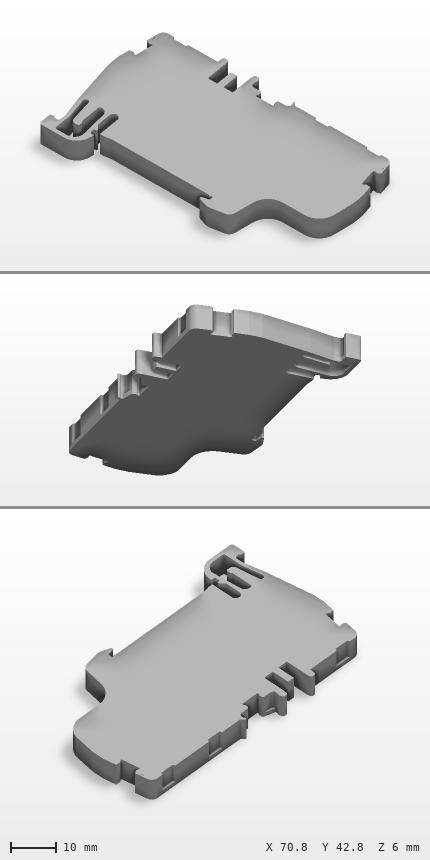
import cadquery as cq
import math

LENGTH = 70.81
HEIGHT = 42.76
THICKNESS = 6.0
WEB_HEIGHT = 1.2

HALF_LENGTH = LENGTH / 2
TOP_Y = HEIGHT / 2
BOTTOM_Y = -HEIGHT / 2
DECK_Y = 19.5
BASE_Y = -15.05

SHOULDER_CORNER_X = 33.15
SHOULDER_RADIUS = 1.85
SHOULDER_TIP_X = 33.9
SHOULDER_TIP_Y = 14.8
NOTCH_TOP_X = 31.95
NOTCH_TOP_Y = 14.45
NOTCH_BOTTOM_X = 32.75
NOTCH_BOTTOM_Y = 9.5
SHOULDER_PIP_X = 32.85
SHOULDER_PIP_DROP = 0.15
SHOULDER_PIP_WIDTH = 0.25
FLANK_CORNER_X = 34.85
FLANK_CORNER_Y = 9.9
FLANK_PIP_X = 33.8
FLANK_PIP_RISE = 0.15
FLANK_PIP_WIDTH = 0.2
FLANK_GAP = 0.3
FLANK_TOP_Y = 6.5
FLANK_BOTTOM_Y = 3.3
FLANK_SLOPE = math.tan(math.radians(8.9))

PRONG_WIDTH = 1.75
PRONG_RADIUS = 0.45
PRONG_TAPER = 0.2
PRONG_TAPER_HEIGHT = 1.44
PRONG_XS = (-16.5, -7.5)
PRONG_NOSE = 0.13
PRONG_NOSE_Y = 20.2
PRONG_NOSE_HEIGHT = 0.6
SLOT_FLOOR_Y = 13.97
TAB_WIDTH = 1.8
TAB_TOP_Y = 18.73
TAB_X = sum(PRONG_XS) / 2

LATCH_X = -1.25
LATCH_FLOOR_Y = 16.35
LATCH_HALF_FLOOR = 2.48
LATCH_HALF_MOUTH = 5.45
LATCH_STEP_Y = 18.25
LATCH_STEP_CHAMFER_X = 0.7
LATCH_STEP_CHAMFER_Y = 0.4
LATCH_BEAD = 0.25
LATCH_BEAD_TOP_Y = 17.9
LATCH_BEAD_BOTTOM_Y = 17.1
LATCH_HOOK_TOP_Y = 20.4
LATCH_HOOK_BOTTOM_Y = 19.9
LATCH_HOOK_REACH = 0.25
LATCH_HOOK_CHAMFER = 0.2
LATCH_WEB_RISE = 0.9
LATCH_WEB_OVERLAP = 0.25

MARKER_XS = (-27.95, 13.0, 28.0)
MARKER_DEPTH = 0.6
MARKER_TOP_WIDTH = 4.2
MARKER_FLOOR_WIDTH = 3.7

GROOVE_X = 33.2
GROOVE_Y = 16.3
GROOVE_LENGTH = 0.9
GROOVE_WIDTH = 0.1
GROOVE_DEPTH = 0.5

SHELF_Y = -6.5
SHELF_OUTER_RADIUS = 5.1
SHELF_OUTER_X = 33.36
SHELF_ROUND_TOP_Y = -2.8
SHELF_INNER_RADIUS = 5.2
SHELF_INNER_X = 18.9
HOOK_HEEL_X = 17.05
HOOK_HEEL_Y = -17.35
HOOK_HEEL_RADIUS = 2.0
HOOK_BOTTOM_Y = -18.22
HOOK_BOTTOM_RIGHT_X = 11.62
HOOK_BOTTOM_LEFT_X = 10.98
HOOK_BEVEL_X = 0.215
HOOK_BEVEL_RIGHT_Y = 0.04
HOOK_BEVEL_LEFT_Y = 0.07
HOOK_TIP_X = 8.1
HOOK_TIP_TOP_Y = -16.7
HOOK_TIP_BOTTOM_Y = -17.2
HOOK_TIP_BEVEL_X = 0.25
HOOK_TIP_BEVEL_Y = 0.15
HOOK_THROAT_X = 10.15
HOOK_THROAT_Y = -16.2
BEAD_X = 9.35
BEAD_TOP_WIDTH = 0.9
BEAD_BOTTOM_WIDTH = 0.5
BEAD_DROP = 0.15

SPRING_SLOT_LEFT_X = -24.6
SPRING_SLOT_RIGHT_X = -22.3
SPRING_SLOT_TOP_Y = -8.15
BASE_END_X = -19.2
BASE_LIP_X = -21.2
BASE_LIP_DROP = 0.35

CATCH_TOP_Y = -13.25
CATCH_NOSE_X = -23.55
CATCH_NOSE_TOP_Y = -14.5
CATCH_NOSE_BOTTOM_Y = -15.0
CATCH_THROAT_X = -24.35
CATCH_THROAT_BEVEL_X = 0.2
CATCH_THROAT_BEVEL_Y = 0.4
CATCH_LEDGE_Y = -16.5
CATCH_LEDGE_X = -23.1

FOOT_HEEL_X = -23.85
FOOT_HEEL_RADIUS = 4.37
FOOT_LEFT_X = -34.9
FOOT_CORNER_RADIUS = 0.7
FOOT_TOP_Y = -17.45
FOOT_TOP_RADIUS = 0.25
FOOT_RELIEF_LEFT_X = -33.7
FOOT_RELIEF_DROP = 0.35
FOOT_RELIEF_BEVEL = 0.3
FOOT_NECK_X = -32.1
FOOT_NECK_TOP_Y = -15.7
FLANK_BEND_Y = -9.5
FOOT_WEB_RADIUS = 0.85
FOOT_WEB_OVERLAP = 0.25

WINDOW_TOP_Y = -8.6
WINDOW_BOTTOM_Y = -20.35
WINDOW_LEFT_TOP_X = -32.35
WINDOW_LEFT_X = -31.2
WINDOW_LEFT_BEND_Y = -15.2
WINDOW_LEFT_TOP_RADIUS = 0.7
WINDOW_SMALL_RADIUS = 0.5
WINDOW_BOTTOM_LEFT_RADIUS = 0.4
WINDOW_RIGHT_TOP_X = -25.85
WINDOW_RIGHT_TOP_RADIUS = 1.6
WINDOW_RIGHT_BOTTOM_X = -24.85
WINDOW_HEEL_RADIUS = 2.6

TONGUE_TOP_LEFT_X = -30.9
TONGUE_TIP_LEFT_X = -29.8
TONGUE_TIP_Y = -16.3
TONGUE_TIP_RADIUS = 1.2
TONGUE_RIGHT_X = -28.05
TONGUE_BARB = 0.35
TONGUE_BARB_Y = -15.1
TONGUE_BARB_RADIUS = 0.2
TONGUE_TOE_RADIUS = 0.4


def sharp(*points):
    """Corners without rounding."""
    return [(x, y, 0) for x, y in points]


def mirrored(corners):
    """The same corners on the other side of X = 0, in reverse order."""
    return [(-x, y, radius) for x, y, radius in reversed(corners)]


def towards(start, end, distance):
    """Point at the given distance from start on the way to end."""
    share = distance / math.dist(start, end)
    return (start[0] + share * (end[0] - start[0]), start[1] + share * (end[1] - start[1]))


def rounded_corner(before, corner, after, radius):
    """Start, middle and end of the arc that rounds a corner."""
    to_before = towards(corner, before, 1)
    to_after = towards(corner, after, 1)
    half_angle = math.asin(math.dist(to_before, to_after) / 2)
    tangent_length = radius / math.tan(half_angle)
    bisector = ((to_before[0] + to_after[0]) / 2, (to_before[1] + to_after[1]) / 2)
    arc_start = towards(corner, before, tangent_length)
    arc_middle = towards(corner, bisector, radius / math.sin(half_angle) - radius)
    arc_end = towards(corner, after, tangent_length)
    return (arc_start, arc_middle, arc_end)


def prism(corners, height):
    """Extrude a closed outline of (x, y, corner radius) from Z = 0."""
    runs = []
    for i, (x, y, radius) in enumerate(corners):
        if radius == 0:
            runs.append(((x, y),))
            continue
        before = corners[i - 1][:2]
        after = corners[(i + 1) % len(corners)][:2]
        runs.append(rounded_corner(before, (x, y), after, radius))

    sketch = cq.Workplane("XY").moveTo(*runs[0][-1])
    for run in runs[1:] + runs[:1]:
        sketch = sketch.lineTo(*run[0])
        if len(run) > 1:
            sketch = sketch.threePointArc(run[1], run[2])
    return sketch.close().extrude(height)


def flank_x(y):
    """X of the sloping right-hand flank below its upright stretch."""
    return HALF_LENGTH - (FLANK_BOTTOM_Y - y) * FLANK_SLOPE


def right_end():
    """Shoulder, side notch and flank of the right-hand end, going down."""
    shoulder = [(SHOULDER_CORNER_X, DECK_Y, SHOULDER_RADIUS)]
    underside = sharp(
        (SHOULDER_TIP_X, SHOULDER_TIP_Y),
        ((SHOULDER_TIP_X + SHOULDER_PIP_X) / 2, NOTCH_TOP_Y),
        (SHOULDER_PIP_X, NOTCH_TOP_Y - SHOULDER_PIP_DROP),
        (SHOULDER_PIP_X - SHOULDER_PIP_WIDTH, NOTCH_TOP_Y),
    )
    notch = sharp(
        (NOTCH_TOP_X, NOTCH_TOP_Y),
        (NOTCH_BOTTOM_X, NOTCH_BOTTOM_Y),
        (NOTCH_BOTTOM_X + FLANK_GAP, NOTCH_BOTTOM_Y),
    )
    flank = sharp(
        (FLANK_PIP_X, FLANK_CORNER_Y + FLANK_PIP_RISE),
        (FLANK_PIP_X + FLANK_PIP_WIDTH, FLANK_CORNER_Y),
        (FLANK_CORNER_X, FLANK_CORNER_Y),
        (HALF_LENGTH, FLANK_TOP_Y),
        (HALF_LENGTH, FLANK_BOTTOM_Y),
    )
    return shoulder + underside + notch + flank


def prong(centre_x):
    """Upper end of a deck prong, going right."""
    half = PRONG_WIDTH / 2
    taper_y = TOP_Y - PRONG_TAPER_HEIGHT
    return [
        (centre_x - half, taper_y, 0),
        (centre_x - half + PRONG_TAPER, TOP_Y, PRONG_RADIUS),
        (centre_x + half - PRONG_TAPER, TOP_Y, PRONG_RADIUS),
        (centre_x + half, taper_y, 0),
    ]


def tab():
    """Slots between the prongs with the tab standing in them, going right."""
    half_prong = PRONG_WIDTH / 2
    half_tab = TAB_WIDTH / 2
    return sharp(
        (PRONG_XS[0] + half_prong, SLOT_FLOOR_Y),
        (TAB_X - half_tab, SLOT_FLOOR_Y),
        (TAB_X - half_tab, TAB_TOP_Y),
        (TAB_X + half_tab, TAB_TOP_Y),
        (TAB_X + half_tab, SLOT_FLOOR_Y),
        (PRONG_XS[1] - half_prong, SLOT_FLOOR_Y),
    )


def latch_wall(side):
    """One wall of the latch recess, going down; side is -1 for left, 1 for right."""
    bead_half = LATCH_HALF_FLOOR - LATCH_BEAD
    offsets = (
        (LATCH_HALF_MOUTH, LATCH_STEP_Y + LATCH_STEP_CHAMFER_Y),
        (LATCH_HALF_MOUTH - LATCH_STEP_CHAMFER_X, LATCH_STEP_Y),
        (LATCH_HALF_FLOOR, LATCH_STEP_Y),
        (bead_half, LATCH_BEAD_TOP_Y),
        (bead_half, LATCH_BEAD_BOTTOM_Y),
        (LATCH_HALF_FLOOR, LATCH_BEAD_BOTTOM_Y - LATCH_BEAD),
        (LATCH_HALF_FLOOR, LATCH_FLOOR_Y),
    )
    return sharp(*[(LATCH_X + side * x, y) for x, y in offsets])


def latch_hook():
    """Hook on the right-hand edge of the latch recess, going up and right."""
    mouth_x = LATCH_X + LATCH_HALF_MOUTH
    return sharp(
        (mouth_x, LATCH_HOOK_BOTTOM_Y - LATCH_HOOK_CHAMFER),
        (mouth_x - LATCH_HOOK_REACH, LATCH_HOOK_BOTTOM_Y),
        (mouth_x - LATCH_HOOK_REACH, LATCH_HOOK_TOP_Y),
        (mouth_x, LATCH_HOOK_TOP_Y),
        (mouth_x + LATCH_HOOK_TOP_Y - DECK_Y, DECK_Y),
    )


def deck():
    """Upper edge between the shoulders, going right."""
    half_prong = PRONG_WIDTH / 2
    nose_x = PRONG_XS[1] + half_prong + PRONG_NOSE
    deck_end = sharp((PRONG_XS[0] - half_prong, DECK_Y))
    prongs = prong(PRONG_XS[0]) + tab() + prong(PRONG_XS[1])[:-1]
    nose = sharp(
        (nose_x, PRONG_NOSE_Y),
        (LATCH_X - LATCH_HALF_MOUTH, PRONG_NOSE_Y - PRONG_NOSE_HEIGHT),
    )
    latch = latch_wall(-1) + list(reversed(latch_wall(1))) + latch_hook()
    return deck_end + prongs + nose + latch


def rail_hook():
    """Lower right-hand corner and the fixed hook, going left to the base."""
    shelf = [
        (flank_x(SHELF_ROUND_TOP_Y), SHELF_ROUND_TOP_Y, 0),
        (SHELF_OUTER_X, SHELF_Y, SHELF_OUTER_RADIUS),
        (SHELF_INNER_X, SHELF_Y, SHELF_INNER_RADIUS),
        (HOOK_HEEL_X, HOOK_HEEL_Y, HOOK_HEEL_RADIUS),
    ]
    hook = sharp(
        (HOOK_BOTTOM_RIGHT_X + HOOK_BEVEL_X, HOOK_BOTTOM_Y + HOOK_BEVEL_RIGHT_Y),
        (HOOK_BOTTOM_RIGHT_X, HOOK_BOTTOM_Y),
        (HOOK_BOTTOM_LEFT_X, HOOK_BOTTOM_Y),
        (HOOK_BOTTOM_LEFT_X - HOOK_BEVEL_X, HOOK_BOTTOM_Y + HOOK_BEVEL_LEFT_Y),
        (HOOK_TIP_X + HOOK_TIP_BEVEL_X, HOOK_TIP_BOTTOM_Y - HOOK_TIP_BEVEL_Y),
        (HOOK_TIP_X, HOOK_TIP_BOTTOM_Y),
        (HOOK_TIP_X, HOOK_TIP_TOP_Y),
        (HOOK_THROAT_X, HOOK_THROAT_Y),
        (HOOK_THROAT_X, BASE_Y),
    )
    bead = sharp(
        (BEAD_X + BEAD_TOP_WIDTH / 2, BASE_Y),
        (BEAD_X + BEAD_BOTTOM_WIDTH / 2, BASE_Y - BEAD_DROP),
        (BEAD_X - BEAD_BOTTOM_WIDTH / 2, BASE_Y - BEAD_DROP),
        (BEAD_X - BEAD_TOP_WIDTH / 2, BASE_Y),
    )
    return shelf + hook + bead


def spring_slot():
    """Slot with a nearly semicircular end beside the spring leg, going left."""
    end_clearance = 0.01
    end_radius = (SPRING_SLOT_RIGHT_X - SPRING_SLOT_LEFT_X) / 2 - end_clearance
    lip_y = BASE_Y - BASE_LIP_DROP
    return [
        (BASE_END_X, BASE_Y, 0),
        (BASE_LIP_X, lip_y, 0),
        (SPRING_SLOT_RIGHT_X, lip_y, 0),
        (SPRING_SLOT_RIGHT_X, SPRING_SLOT_TOP_Y, end_radius),
        (SPRING_SLOT_LEFT_X, SPRING_SLOT_TOP_Y, end_radius),
    ]


def spring_catch():
    """Catch on the spring leg that grips the rail, going down."""
    return sharp(
        (SPRING_SLOT_LEFT_X, CATCH_TOP_Y),
        (CATCH_NOSE_X, CATCH_NOSE_TOP_Y),
        (CATCH_NOSE_X, CATCH_NOSE_BOTTOM_Y),
        (CATCH_THROAT_X + CATCH_THROAT_BEVEL_X, CATCH_NOSE_BOTTOM_Y),
        (CATCH_THROAT_X, CATCH_NOSE_BOTTOM_Y - CATCH_THROAT_BEVEL_Y),
        (CATCH_THROAT_X + CATCH_THROAT_BEVEL_X, CATCH_LEDGE_Y),
        (CATCH_LEDGE_X, CATCH_LEDGE_Y),
    )


def foot():
    """Foot, its relief and the lower left flank, going left and then up."""
    relief_y = FOOT_TOP_Y - FOOT_RELIEF_DROP
    block = [
        (FOOT_HEEL_X, BOTTOM_Y, FOOT_HEEL_RADIUS),
        (FOOT_LEFT_X, BOTTOM_Y, FOOT_CORNER_RADIUS),
        (FOOT_LEFT_X, FOOT_TOP_Y, FOOT_TOP_RADIUS),
    ]
    relief = sharp(
        (FOOT_RELIEF_LEFT_X, FOOT_TOP_Y),
        (FOOT_RELIEF_LEFT_X + FOOT_RELIEF_BEVEL, relief_y),
        (FOOT_NECK_X - FOOT_RELIEF_BEVEL, relief_y),
        (FOOT_NECK_X, relief_y + FOOT_RELIEF_BEVEL),
        (FOOT_NECK_X, FOOT_NECK_TOP_Y),
    )
    return block + relief + sharp((-flank_x(FLANK_BEND_Y), FLANK_BEND_Y))


def foot_window():
    """Opening between the two legs of the foot, with the tongue reaching into it."""
    barb_x = TONGUE_RIGHT_X + TONGUE_BARB
    return [
        (WINDOW_LEFT_TOP_X, WINDOW_TOP_Y, WINDOW_LEFT_TOP_RADIUS),
        (TONGUE_TOP_LEFT_X, WINDOW_TOP_Y, WINDOW_SMALL_RADIUS),
        (TONGUE_TIP_LEFT_X, TONGUE_TIP_Y, TONGUE_TIP_RADIUS),
        (barb_x, TONGUE_TIP_Y, TONGUE_TOE_RADIUS),
        (barb_x, TONGUE_BARB_Y, TONGUE_BARB_RADIUS),
        (TONGUE_RIGHT_X, TONGUE_BARB_Y + TONGUE_BARB, 0),
        (TONGUE_RIGHT_X, WINDOW_TOP_Y, WINDOW_SMALL_RADIUS),
        (WINDOW_RIGHT_TOP_X, WINDOW_TOP_Y, WINDOW_RIGHT_TOP_RADIUS),
        (WINDOW_RIGHT_BOTTOM_X, WINDOW_BOTTOM_Y, WINDOW_HEEL_RADIUS),
        (WINDOW_LEFT_X, WINDOW_BOTTOM_Y, WINDOW_BOTTOM_LEFT_RADIUS),
        (WINDOW_LEFT_X, WINDOW_LEFT_BEND_Y, 0),
    ]


def housing():
    """Full-thickness plate with the foot opening."""
    upper = mirrored(right_end()) + deck() + right_end()
    lower = rail_hook() + spring_slot() + spring_catch() + foot()
    return prism(upper + lower, THICKNESS).cut(prism(foot_window(), THICKNESS))


def latch_web(side):
    """Thin wedge under one sloping side of the latch recess."""
    outer_x = LATCH_X + side * (LATCH_HALF_MOUTH + LATCH_WEB_OVERLAP)
    inner_x = LATCH_X + side * LATCH_HALF_FLOOR
    wedge = sharp(
        (outer_x, LATCH_STEP_Y + LATCH_WEB_RISE),
        (inner_x, LATCH_STEP_Y),
        (outer_x, LATCH_STEP_Y),
    )
    return prism(wedge, WEB_HEIGHT)


def foot_web():
    """Thin web filling the foot relief, with a concave corner against the neck."""
    inner_x = FOOT_NECK_X + FOOT_WEB_OVERLAP
    bottom_y = FOOT_TOP_Y - FOOT_RELIEF_DROP - FOOT_WEB_OVERLAP
    return (
        cq.Workplane("XY")
        .moveTo(FOOT_RELIEF_LEFT_X, FOOT_TOP_Y)
        .lineTo(FOOT_NECK_X - FOOT_WEB_RADIUS, FOOT_TOP_Y)
        .radiusArc((FOOT_NECK_X, FOOT_TOP_Y + FOOT_WEB_RADIUS), -FOOT_WEB_RADIUS)
        .lineTo(inner_x, bottom_y)
        .lineTo(FOOT_RELIEF_LEFT_X + FOOT_RELIEF_BEVEL, bottom_y)
        .close()
        .extrude(WEB_HEIGHT)
    )


def marker_recess(centre_x):
    """Tapered recess in the deck edge, open upwards, with a thin web below it."""
    half_top = MARKER_TOP_WIDTH / 2
    half_floor = MARKER_FLOOR_WIDTH / 2
    corners = sharp(
        (centre_x - half_top, DECK_Y),
        (centre_x + half_top, DECK_Y),
        (centre_x + half_floor, DECK_Y - MARKER_DEPTH),
        (centre_x - half_floor, DECK_Y - MARKER_DEPTH),
    )
    return prism(corners, THICKNESS - WEB_HEIGHT).translate((0, 0, WEB_HEIGHT))


def end_groove(centre_x):
    """Fine groove in the upper face beside an end face."""
    groove = cq.Workplane("XY").box(GROOVE_WIDTH, GROOVE_LENGTH, GROOVE_DEPTH)
    return groove.translate((centre_x, GROOVE_Y, THICKNESS - GROOVE_DEPTH / 2))


body = housing().union(foot_web())
for side in (-1, 1):
    body = body.union(latch_web(side))
    body = body.cut(end_groove(side * GROOVE_X))
for marker_x in MARKER_XS:
    body = body.cut(marker_recess(marker_x))

result = body